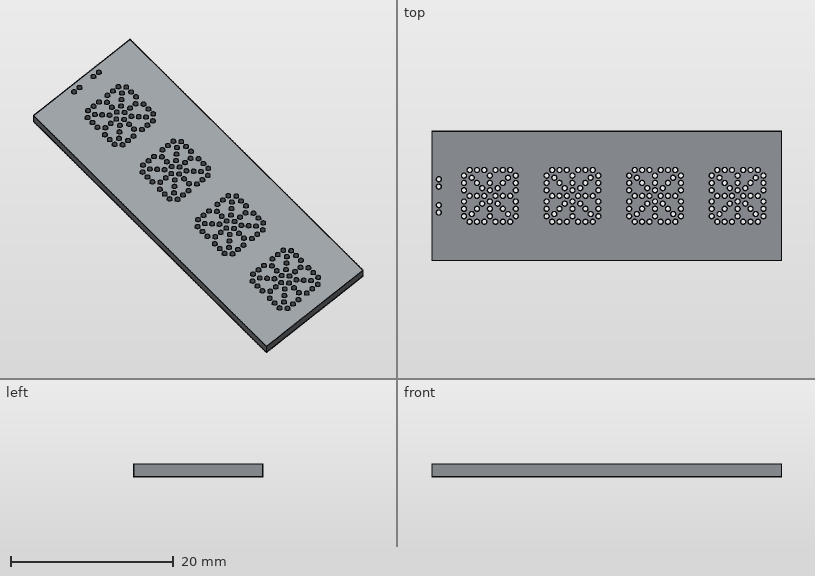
import cadquery as cq
import math

PLATE_LENGTH = 43.05
PLATE_WIDTH = 15.95
PLATE_THICKNESS = 1.6

HOLE_DIAMETER = 0.6
HOLE_SPACING = 0.9
HOLES_PER_SEGMENT = 3

SEGMENT_PITCH = 3.2
CHARACTER_COUNT = 4
CHARACTER_PITCH = 10.15
CHARACTER_ROW_CENTER_X = 0.85

COLON_X = -20.65
HOLES_PER_COLON_DOT = 2


def hole_row(center_x, center_y, angle, count):
    """Evenly spaced hole centers on a line at the given angle in degrees."""
    direction_x = math.cos(math.radians(angle))
    direction_y = math.sin(math.radians(angle))
    points = []
    for index in range(count):
        offset = (index - (count - 1) / 2) * HOLE_SPACING
        points.append((center_x + offset * direction_x, center_y + offset * direction_y))
    return points


def character_holes(center_x):
    """Hole centers of the sixteen segments of one character."""
    half_pitch = SEGMENT_PITCH / 2
    points = []
    for side in (-1, 1):
        middle = side * half_pitch
        for line in (-SEGMENT_PITCH, 0, SEGMENT_PITCH):
            points += hole_row(center_x + middle, line, 0, HOLES_PER_SEGMENT)
            points += hole_row(center_x + line, middle, 90, HOLES_PER_SEGMENT)
        for end in (-1, 1):
            diagonal_angle = 45 * side * end
            points += hole_row(center_x + middle, end * half_pitch, diagonal_angle, HOLES_PER_SEGMENT)
    return points


def colon_holes():
    """Hole centers of the two colon dots near the left edge."""
    points = []
    for side in (-1, 1):
        points += hole_row(COLON_X, side * SEGMENT_PITCH / 2, 90, HOLES_PER_COLON_DOT)
    return points


hole_centers = colon_holes()
for character in range(CHARACTER_COUNT):
    offset_from_middle = (character - (CHARACTER_COUNT - 1) / 2) * CHARACTER_PITCH
    hole_centers += character_holes(CHARACTER_ROW_CENTER_X + offset_from_middle)

plate = cq.Workplane("XY").box(PLATE_LENGTH, PLATE_WIDTH, PLATE_THICKNESS)
result = plate.faces(">Z").workplane().pushPoints(hole_centers).hole(HOLE_DIAMETER)